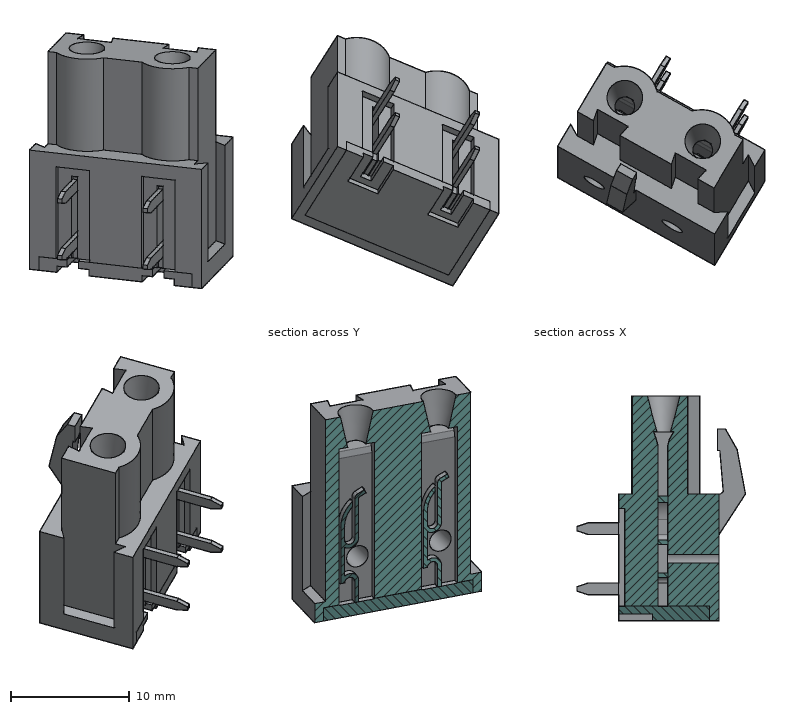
import cadquery as cq
import math


BLOCK_WIDTH = 15.33
BLOCK_DEPTH = 8.5
BLOCK_HEIGHT = 10.72
TOTAL_HEIGHT = 19.0
POLE_PITCH = 7.6
POLE_XS = [-POLE_PITCH / 2, POLE_PITCH / 2]
TOWER_HALF_WIDTH = 6.67
TOWER_FRONT = 1.98
TOWER_BACK = 6.88
LOBE_HALF_WIDTH = 2.09
LOBE_FRONT = 1.08

GROOVE_DEPTH = 1.03
GROOVE_MOUTH_HALF = 1.3
GROOVE_FLOOR_HALF = 1.5

RECESS_BOTTOM = 1.85
RECESS_MOUTH_FRONT = 1.73
RECESS_MOUTH_BACK = 6.27

LATCH_WIDTH = 1.55
LATCH_X = 0.8
LATCH_TIP_Y = 10.74
LATCH_ROOT_Z = 7.28

BORE_Y = 3.82
BORE_MOUTH_DIAMETER = 3.0
BORE_END_DIAMETER = 1.67
BORE_DEPTH = 3.04
FUNNEL_WAIST_HALF = 0.55
FUNNEL_UPPER_DROP = 0.6
FUNNEL_LOWER_DROP = 0.57
CAVITY_WIDTH = 3.23
WINDOW_DIAMETER = 1.98
WINDOW_OFFSET = 0.28

CHANNEL_WIDTH = 2.98
CHANNEL_TOP = 9.48
CHANNEL_DEPTH = 0.51
SLOT_WIDTH = 0.53
SLOT_TOP = 8.6

COVER_WIDTH = 13.65
COVER_HEIGHT = 1.24
COVER_WALL = (BLOCK_WIDTH - COVER_WIDTH) / 2
COVER_DEPTH = BLOCK_DEPTH - COVER_WALL
NOTCH_NARROW_WIDTH = 1.0
NOTCH_WIDE_WIDTH = 2.85
NOTCH_WIDE_HEIGHT = 0.57
NOTCH_NARROW_DEPTH = 2.28
NOTCH_WIDE_DEPTH = 2.85

STRIP_THICKNESS = 0.4
STRIP_WIDTH = 0.8
STRIP_Y = 3.75
STRIP_FRONT = STRIP_Y - STRIP_WIDTH / 2
STRIP_BACK = STRIP_Y + STRIP_WIDTH / 2
BEND_INNER_RADIUS = 0.9 / 2
BEND_OUTER_RADIUS = BEND_INNER_RADIUS + STRIP_THICKNESS
PIN_HEIGHT = 1.03
PIN_TIP_Y = -3.52
PIN_TAPER_LENGTH = 0.97
PIN_TIP_HEIGHT = 0.38
SHOULDER_SETBACK = 0.13
SHOULDER_FRONT = CHANNEL_DEPTH + SHOULDER_SETBACK
SHOULDER_TOP = 8.53
LOWER_PIN_Z = 2.7
UPPER_PIN_Z = 7.79
WINDOW_Z = (LOWER_PIN_Z + UPPER_PIN_Z) / 2
STEM_X = STRIP_THICKNESS / 2
LEG_X = STEM_X - 2 * BEND_OUTER_RADIUS
BEND_X = STEM_X - BEND_OUTER_RADIUS
LOWER_BEND_Z = LOWER_PIN_Z + PIN_HEIGHT / 2
UPPER_BEND_Z = UPPER_PIN_Z - PIN_HEIGHT / 2
SPRING_START_Z = 8.55
SPRING_OUTER_RADIUS = 2.85
SPRING_SWEEP = 60.0
SPRING_TIP_X = -0.38
FLARE_START_Z = 11.02
FLARE_INNER_RADIUS = 0.05
FLARE_SWEEP = 66.0
FLARE_END_X = 0.72


def box(x_min, x_max, y_min, y_max, z_min, z_max):
    size = (x_max - x_min, y_max - y_min, z_max - z_min)
    return cq.Workplane("XY").box(*size, centered=False).translate((x_min, y_min, z_min))


def centred_box(x, width, y_min, y_max, z_min, z_max):
    return box(x - width / 2, x + width / 2, y_min, y_max, z_min, z_max)


def extrude_along_y(profile, y_min, y_max):
    """Extrude an outline drawn on the XZ plane between two Y positions."""
    return profile.extrude(y_min - y_max).translate((0, y_min, 0))


def extrude_along_x(points, x, width):
    """Extrude an outline of (Y, Z) points across a width centred on x."""
    outline = cq.Workplane("YZ").polyline(points).close()
    return outline.extrude(width).translate((x - width / 2, 0, 0))


def make_tower():
    """Prism with a rounded lobe in front of each bore and a dovetail groove behind it."""
    outline = cq.Workplane("XY").moveTo(-TOWER_HALF_WIDTH, TOWER_FRONT)
    for x in POLE_XS:
        outline = outline.lineTo(x - LOBE_HALF_WIDTH, TOWER_FRONT)
        outline = outline.threePointArc((x, LOBE_FRONT), (x + LOBE_HALF_WIDTH, TOWER_FRONT))
    outline = outline.lineTo(TOWER_HALF_WIDTH, TOWER_FRONT).lineTo(TOWER_HALF_WIDTH, TOWER_BACK)
    groove_floor = TOWER_BACK - GROOVE_DEPTH
    for x in reversed(POLE_XS):
        outline = outline.lineTo(x + GROOVE_MOUTH_HALF, TOWER_BACK)
        outline = outline.lineTo(x + GROOVE_FLOOR_HALF, groove_floor)
        outline = outline.lineTo(x - GROOVE_FLOOR_HALF, groove_floor)
        outline = outline.lineTo(x - GROOVE_MOUTH_HALF, TOWER_BACK)
    outline = outline.lineTo(-TOWER_HALF_WIDTH, TOWER_BACK).close()
    return outline.extrude(TOTAL_HEIGHT - BLOCK_HEIGHT).translate((0, 0, BLOCK_HEIGHT))


def make_end_recess():
    """Dovetail pocket in the -X end, open at the top, with its floor level with the tower side."""
    points = [
        (-BLOCK_WIDTH / 2, RECESS_MOUTH_FRONT),
        (-TOWER_HALF_WIDTH, LOBE_FRONT),
        (-TOWER_HALF_WIDTH, TOWER_BACK),
        (-BLOCK_WIDTH / 2, RECESS_MOUTH_BACK),
    ]
    recess = cq.Workplane("XY").polyline(points).close().extrude(BLOCK_HEIGHT - RECESS_BOTTOM)
    return recess.translate((0, 0, RECESS_BOTTOM))


def make_latch():
    points = [
        (BLOCK_DEPTH, LATCH_ROOT_Z),
        (LATCH_TIP_Y, BLOCK_HEIGHT),
        (10.03, 14.45),
        (9.05, 16.2),
        (8.36, 16.2),
        (8.36, 14.38),
        (8.55, 14.38),
        (8.84, 10.92),
        (8.6, BLOCK_HEIGHT),
        (BLOCK_DEPTH, BLOCK_HEIGHT),
    ]
    return extrude_along_x(points, LATCH_X, LATCH_WIDTH)


def make_contact_cavity(x):
    """Conical bore that funnels down into a flat-sided cavity as deep as the contact strip is wide."""
    bore_end = TOTAL_HEIGHT - BORE_DEPTH
    bore = (
        cq.Workplane("XY", origin=(x, BORE_Y, bore_end))
        .circle(BORE_END_DIAMETER / 2)
        .workplane(offset=BORE_DEPTH)
        .circle(BORE_MOUTH_DIAMETER / 2)
        .loft()
    )
    funnel_waist = bore_end - FUNNEL_UPPER_DROP
    funnel_end = funnel_waist - FUNNEL_LOWER_DROP
    points = [
        (STRIP_FRONT, COVER_HEIGHT),
        (STRIP_BACK, COVER_HEIGHT),
        (STRIP_BACK, funnel_end),
        (STRIP_Y + FUNNEL_WAIST_HALF, funnel_waist),
        (BORE_Y + BORE_END_DIAMETER / 2, bore_end),
        (BORE_Y - BORE_END_DIAMETER / 2, bore_end),
        (STRIP_Y - FUNNEL_WAIST_HALF, funnel_waist),
        (STRIP_FRONT, funnel_end),
    ]
    return bore.union(extrude_along_x(points, x, CAVITY_WIDTH))


def make_front_opening(x):
    """Shallow channel in the front face with the pin slot running from its floor to the cavity."""
    channel = centred_box(x, CHANNEL_WIDTH, 0, CHANNEL_DEPTH, COVER_HEIGHT, CHANNEL_TOP)
    slot = centred_box(x, SLOT_WIDTH, 0, STRIP_Y, COVER_HEIGHT, SLOT_TOP)
    return channel.union(slot)


def make_back_window(x):
    """Round hole from the cavity through the back face."""
    circle = cq.Workplane("XZ").center(x + WINDOW_OFFSET, WINDOW_Z).circle(WINDOW_DIAMETER / 2)
    return extrude_along_y(circle, STRIP_Y, BLOCK_DEPTH)


def make_cover_blank():
    return centred_box(0, COVER_WIDTH, 0, COVER_DEPTH, 0, COVER_HEIGHT)


def make_housing():
    block = centred_box(0, BLOCK_WIDTH, 0, BLOCK_DEPTH, 0, BLOCK_HEIGHT)
    recess = make_end_recess()
    body = block.union(make_tower()).cut(recess).cut(recess.mirror("YZ")).union(make_latch())
    for x in POLE_XS:
        body = body.cut(make_contact_cavity(x)).cut(make_front_opening(x)).cut(make_back_window(x))
    return body.cut(make_cover_blank())


def make_cover():
    """Base plate with a T-shaped notch under each contact, open to the front."""
    plate = make_cover_blank()
    for x in POLE_XS:
        narrow = centred_box(x, NOTCH_NARROW_WIDTH, 0, NOTCH_NARROW_DEPTH, 0, COVER_HEIGHT)
        wide = centred_box(x, NOTCH_WIDE_WIDTH, 0, NOTCH_WIDE_DEPTH, 0, NOTCH_WIDE_HEIGHT)
        plate = plate.cut(narrow).cut(wide)
    return plate


def make_pin(z):
    """Flat solder pin that leaves the strip forwards and narrows at its tip."""
    half, tip_half = PIN_HEIGHT / 2, PIN_TIP_HEIGHT / 2
    taper_y = PIN_TIP_Y + PIN_TAPER_LENGTH
    points = [
        (STRIP_Y, z - half),
        (STRIP_Y, z + half),
        (taper_y, z + half),
        (PIN_TIP_Y, z + tip_half),
        (PIN_TIP_Y, z - tip_half),
        (taper_y, z - half),
    ]
    return extrude_along_x(points, 0, STRIP_THICKNESS)


def make_bend(centre_x, centre_z, inner_radius, start_angle, sweep):
    """Curved length of strip, as an arc in the XZ plane about the given centre."""

    def point(radius, angle):
        radians = math.radians(angle)
        return centre_x + radius * math.cos(radians), centre_z + radius * math.sin(radians)

    outer_radius = inner_radius + STRIP_THICKNESS
    middle, end = start_angle + sweep / 2, start_angle + sweep
    profile = (
        cq.Workplane("XZ")
        .moveTo(*point(inner_radius, start_angle))
        .threePointArc(point(inner_radius, middle), point(inner_radius, end))
        .lineTo(*point(outer_radius, end))
        .threePointArc(point(outer_radius, middle), point(outer_radius, start_angle))
        .close()
    )
    return extrude_along_y(profile, STRIP_FRONT, STRIP_BACK)


def make_flare():
    """Lead-in at the top of the stem: a bend towards +X and a straight sloping lip."""
    centre_x = STEM_X + FLARE_INNER_RADIUS
    bend = make_bend(centre_x, FLARE_START_Z, FLARE_INNER_RADIUS, 180, -FLARE_SWEEP)
    angle = math.radians(180 - FLARE_SWEEP)
    lower_x = centre_x + FLARE_INNER_RADIUS * math.cos(angle)
    lower_z = FLARE_START_Z + FLARE_INNER_RADIUS * math.sin(angle)
    upper_x = lower_x + STRIP_THICKNESS * math.cos(angle)
    upper_z = lower_z + STRIP_THICKNESS * math.sin(angle)
    length = (FLARE_END_X - upper_x) / math.sin(angle)
    step_x, step_z = length * math.sin(angle), -length * math.cos(angle)
    points = [
        (lower_x, lower_z),
        (upper_x, upper_z),
        (upper_x + step_x, upper_z + step_z),
        (lower_x + step_x, lower_z + step_z),
    ]
    lip = extrude_along_y(cq.Workplane("XZ").polyline(points).close(), STRIP_FRONT, STRIP_BACK)
    return bend.union(lip)


def make_spring():
    """Arm that curves from the leg towards the stem and ends in an upright face beside it."""
    inner_radius = SPRING_OUTER_RADIUS - STRIP_THICKNESS
    arm = make_bend(LEG_X + SPRING_OUTER_RADIUS, SPRING_START_Z, inner_radius, 180, -SPRING_SWEEP)
    spring_top = SPRING_START_Z + SPRING_OUTER_RADIUS
    return arm.intersect(box(LEG_X, SPRING_TIP_X, STRIP_FRONT, STRIP_BACK, SPRING_START_Z, spring_top))


def make_contact(x):
    """Bent strip: two stems with pins and shoulders, joined by two round bends to a sprung leg."""
    leg_inner = LEG_X + STRIP_THICKNESS
    leg = box(LEG_X, leg_inner, STRIP_FRONT, STRIP_BACK, LOWER_BEND_Z, SPRING_START_Z)
    lower_stem = box(-STEM_X, STEM_X, STRIP_FRONT, STRIP_BACK, COVER_HEIGHT, LOWER_BEND_Z)
    upper_stem = box(-STEM_X, STEM_X, STRIP_FRONT, STRIP_BACK, UPPER_BEND_Z, FLARE_START_Z)
    lower_shoulder = box(-STEM_X, STEM_X, SHOULDER_FRONT, STRIP_Y, COVER_HEIGHT, LOWER_BEND_Z)
    upper_shoulder = box(-STEM_X, STEM_X, SHOULDER_FRONT, STRIP_Y, UPPER_BEND_Z, SHOULDER_TOP)
    contact = (
        leg.union(lower_stem)
        .union(upper_stem)
        .union(lower_shoulder)
        .union(upper_shoulder)
        .union(make_bend(BEND_X, LOWER_BEND_Z, BEND_INNER_RADIUS, 0, 180))
        .union(make_bend(BEND_X, UPPER_BEND_Z, BEND_INNER_RADIUS, 0, -180))
        .union(make_spring())
        .union(make_flare())
    )
    for z in (LOWER_PIN_Z, UPPER_PIN_Z):
        contact = contact.union(make_pin(z))
    return contact.translate((x, 0, 0))


housing = make_housing().solids()
cover = make_cover().solids()
contacts = [make_contact(x).solids() for x in POLE_XS]

result = cq.Compound.makeCompound([housing.val(), cover.val(), *[contact.val() for contact in contacts]])